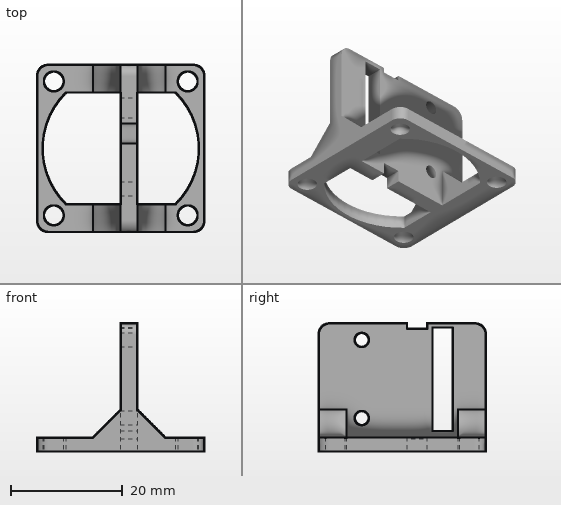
import cadquery as cq

side = 30.0
base_thickness = 2.5
corner_radius = 2.0
screw_hole_diameter = 3.5
screw_hole_inset = 3.0
screw_hole_pitch = side - 2 * screw_hole_inset
opening_diameter = 28.0
opening_width = 20.0

height = 23.0
plate_thickness = 3.0
plate_x_min = 0.0
plate_x_max = plate_x_min + plate_thickness

gusset_rise = 5.0
gusset_length = (side - opening_width) / 2

slot_width = 3.6
slot_y_center = 7.23
slot_bottom = 3.7
slot_top = 22.2
notch_width = 3.6
notch_y_center = 2.67
top_notch_depth = 1.0
bottom_notch_depth = 2.25
plate_hole_diameter = 2.5
plate_hole_y = -7.25
plate_hole_heights = (6.0, 20.0)


def make_base():
    base = cq.Workplane("XY").rect(side, side).extrude(base_thickness)
    base = base.edges("|Z").fillet(corner_radius)
    opening = cq.Workplane("XY").circle(opening_diameter / 2).extrude(base_thickness)
    flats = cq.Workplane("XY").rect(side, opening_width).extrude(base_thickness)
    screw_holes = (
        cq.Workplane("XY")
        .rect(screw_hole_pitch, screw_hole_pitch, forConstruction=True)
        .vertices()
        .circle(screw_hole_diameter / 2)
        .extrude(base_thickness)
    )
    return base.cut(opening.intersect(flats)).cut(screw_holes)


def plate_block(width, y_center, bottom, top):
    """Box through the plate thickness, spanning the given width and heights."""
    return (
        cq.Workplane("XY")
        .box(plate_thickness, width, top - bottom, centered=(False, True, False))
        .translate((plate_x_min, y_center, bottom))
    )


def make_plate():
    plate = plate_block(side, 0, 0, height)
    plate = plate.edges("|X and >Z").fillet(corner_radius)
    plate = plate.cut(plate_block(slot_width, slot_y_center, slot_bottom, slot_top))
    plate = plate.cut(plate_block(notch_width, notch_y_center, height - top_notch_depth, height))
    plate = plate.cut(plate_block(notch_width, notch_y_center, 0, bottom_notch_depth))
    holes = (
        cq.Workplane("YZ", origin=(plate_x_min, 0, 0))
        .pushPoints([(plate_hole_y, z) for z in plate_hole_heights])
        .circle(plate_hole_diameter / 2)
        .extrude(plate_thickness)
    )
    return plate.cut(holes)


def make_gussets():
    """45 degree gussets on both faces of the plate, at both ends."""
    gusset_top = base_thickness + gusset_rise
    profile = [
        (plate_x_min - gusset_rise, base_thickness),
        (plate_x_max + gusset_rise, base_thickness),
        (plate_x_max, gusset_top),
        (plate_x_min, gusset_top),
    ]
    front_end = (
        cq.Workplane("XZ", origin=(0, -opening_width / 2, 0))
        .polyline(profile)
        .close()
        .extrude(gusset_length)
    )
    return front_end.union(front_end.mirror("XZ"))


result = make_base().union(make_plate()).union(make_gussets())